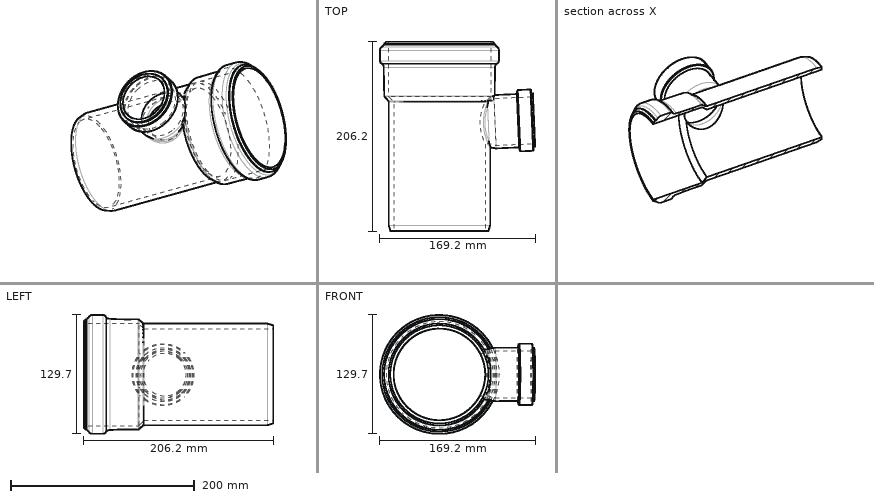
import cadquery as cq
import math


TOTAL_LENGTH = 206.2
PIPE_RADIUS = 110.9 / 2
PIPE_BORE_RADIUS = 99.5 / 2
SPIGOT_CHAMFER_LENGTH = 6.6
SPIGOT_TIP_RADIUS = 53.4

SOCKET_BORE_RADIUS = 111.3 / 2
MOUTH_RADIUS = 58.0
LIP_DEPTH = 2.3
LIP_RADIUS = 120.5 / 2
BEAD_FOOT_DEPTH = 3.1
BEAD_SHOULDER_DEPTH = 5.5
BEAD_SHOULDER_RADIUS = 62.6
BEAD_START_DEPTH = 9.2
BEAD_END_DEPTH = 20.8
BEAD_RADIUS = 129.7 / 2
BEAD_BACK_DEPTH = 24.1
BEAD_BACK_RADIUS = 62.3
NECK_START_DEPTH = 28.0
NECK_START_RADIUS = 121.4 / 2
NECK_ROUND_DEPTH = 58.7
NECK_END_DEPTH = 59.5
NECK_ROUND_RADIUS = 120.5 / 2
NECK_END_RADIUS = 60.05
SHOULDER_BLEND_DEPTH = 64.2
SHOULDER_BLEND_RADIUS = 56.0
SHOULDER_END_DEPTH = 65.4

BRANCH_TILT = 2.5
BRANCH_Y = 116.4
BRANCH_START = 30.0
BRANCH_ROOT_RADIUS = 55.0 / 2
BRANCH_ROOT_BORE_RADIUS = 46.6 / 2
BRANCH_CONE_START = 53.0
BRANCH_CONE_END = 60.3
BRANCH_RADIUS = 58.4 / 2
BRANCH_SOCKET_BORE_RADIUS = 51.2 / 2
COLLAR_START = 85.4
COLLAR_RADIUS = 60.3 / 2
BRANCH_BEAD_START = 86.2
BRANCH_BEAD_END = 101.2
BRANCH_BEAD_RADIUS = 67.1 / 2
BRANCH_BEAD_CHAMFER = 0.7
BRANCH_LIP_RADIUS = 58.0 / 2
BRANCH_END = 103.2

SADDLE_FILLET = 1.8
FLARE_START = 5.0
STUB_END = 80.0


def station(depth):
    """Y position of a depth measured inwards from the main socket mouth."""
    return TOTAL_LENGTH - depth


def flank_middle(crest, foot):
    """Middle point of the arc that leaves `crest` parallel to the pipe axis and ends at `foot`.

    Points are (radius, Y) pairs.
    """
    rise = foot[0] - crest[0]
    run = foot[1] - crest[1]
    arc_radius = (rise**2 + run**2) / (2 * abs(rise))
    half_sweep = math.atan2(abs(rise), abs(run))
    radius = crest[0] + math.copysign(arc_radius * (1 - math.cos(half_sweep)), rise)
    y = crest[1] + math.copysign(arc_radius * math.sin(half_sweep), run)
    return radius, y


def main_body():
    bead_shoulder = (BEAD_SHOULDER_RADIUS, station(BEAD_SHOULDER_DEPTH))
    bead_start = (BEAD_RADIUS, station(BEAD_START_DEPTH))
    bead_end = (BEAD_RADIUS, station(BEAD_END_DEPTH))
    bead_back = (BEAD_BACK_RADIUS, station(BEAD_BACK_DEPTH))
    neck_start = (NECK_START_RADIUS, station(NECK_START_DEPTH))
    neck_round = (NECK_ROUND_RADIUS, station(NECK_ROUND_DEPTH))
    neck_end = (NECK_END_RADIUS, station(NECK_END_DEPTH))
    blend = (SHOULDER_BLEND_RADIUS, station(SHOULDER_BLEND_DEPTH))
    shoulder_end = (PIPE_RADIUS, station(SHOULDER_END_DEPTH))
    profile = (
        cq.Workplane("XY")
        .moveTo(0, 0)
        .lineTo(SPIGOT_TIP_RADIUS, 0)
        .lineTo(PIPE_RADIUS, SPIGOT_CHAMFER_LENGTH)
        .lineTo(*shoulder_end)
        .threePointArc(flank_middle(shoulder_end, blend), blend)
        .lineTo(*neck_end)
        .threePointArc(flank_middle(neck_round, neck_end), neck_round)
        .lineTo(*neck_start)
        .threePointArc(flank_middle(neck_start, bead_back), bead_back)
        .threePointArc(flank_middle(bead_end, bead_back), bead_end)
        .lineTo(*bead_start)
        .threePointArc(flank_middle(bead_start, bead_shoulder), bead_shoulder)
        .lineTo(LIP_RADIUS, station(BEAD_FOOT_DEPTH))
        .lineTo(LIP_RADIUS, station(LIP_DEPTH))
        .lineTo(MOUTH_RADIUS, TOTAL_LENGTH)
        .lineTo(0, TOTAL_LENGTH)
        .close()
    )
    return profile.revolve(360, (0, 0, 0), (0, 1, 0))


def main_bore():
    profile = (
        cq.Workplane("XY")
        .moveTo(0, 0)
        .lineTo(PIPE_BORE_RADIUS, 0)
        .lineTo(PIPE_BORE_RADIUS, station(SHOULDER_END_DEPTH))
        .lineTo(SOCKET_BORE_RADIUS, station(NECK_END_DEPTH))
        .lineTo(SOCKET_BORE_RADIUS, TOTAL_LENGTH)
        .lineTo(0, TOTAL_LENGTH)
        .close()
    )
    return profile.revolve(360, (0, 0, 0), (0, 1, 0))


def revolve_on_branch(outline):
    """Revolve (distance, radius) points about the branch axis and set the solid in place."""
    axis_points = [(outline[-1][0], 0), (outline[0][0], 0)]
    solid = cq.Workplane("XY").polyline(outline + axis_points).close().revolve(360, (0, 0, 0), (1, 0, 0))
    return solid.rotate((0, 0, 0), (0, 0, 1), BRANCH_TILT).translate((0, BRANCH_Y, 0))


def branch_body():
    return revolve_on_branch([
        (BRANCH_START, BRANCH_ROOT_RADIUS),
        (BRANCH_CONE_START, BRANCH_ROOT_RADIUS),
        (BRANCH_CONE_END, BRANCH_RADIUS),
        (COLLAR_START, BRANCH_RADIUS),
        (COLLAR_START, COLLAR_RADIUS),
        (BRANCH_BEAD_START, BRANCH_BEAD_RADIUS - BRANCH_BEAD_CHAMFER),
        (BRANCH_BEAD_START + BRANCH_BEAD_CHAMFER, BRANCH_BEAD_RADIUS),
        (BRANCH_BEAD_END - BRANCH_BEAD_CHAMFER, BRANCH_BEAD_RADIUS),
        (BRANCH_BEAD_END, BRANCH_BEAD_RADIUS - BRANCH_BEAD_CHAMFER),
        (BRANCH_BEAD_END, BRANCH_LIP_RADIUS),
        (BRANCH_END, BRANCH_LIP_RADIUS),
    ])


def branch_bore():
    return revolve_on_branch([
        (BRANCH_START, BRANCH_ROOT_BORE_RADIUS),
        (BRANCH_CONE_START, BRANCH_ROOT_BORE_RADIUS),
        (BRANCH_CONE_END, BRANCH_SOCKET_BORE_RADIUS),
        (BRANCH_END, BRANCH_SOCKET_BORE_RADIUS),
    ])


def saddle_fillet(run, stub):
    """Join a branch stub to a plain body of the main run and round the closed seam between them."""
    joined = run.union(stub)
    return joined.edges("not (%CIRCLE or %LINE)").fillet(SADDLE_FILLET)


def pipe_saddle():
    """Root cylinder of the branch blended into the cylindrical pipe wall."""
    length = station(SHOULDER_END_DEPTH) - SPIGOT_CHAMFER_LENGTH
    pipe_end = cq.Workplane("XZ", origin=(0, SPIGOT_CHAMFER_LENGTH, 0))
    plain_pipe = pipe_end.circle(PIPE_RADIUS).extrude(-length)
    root = revolve_on_branch([(BRANCH_START, BRANCH_ROOT_RADIUS), (STUB_END, BRANCH_ROOT_RADIUS)])
    excess = revolve_on_branch([(BRANCH_CONE_END, BEAD_RADIUS), (STUB_END, BEAD_RADIUS)])
    return saddle_fillet(plain_pipe, root).cut(excess)


def shoulder_saddle():
    """Widening branch root blended into the conical shoulder of the main socket.

    Both cones are extended so that they meet in one closed seam, then trimmed to the shoulder.
    """
    neck_end = station(NECK_END_DEPTH)
    slope = (NECK_END_RADIUS - SHOULDER_BLEND_RADIUS) / (SHOULDER_BLEND_DEPTH - NECK_END_DEPTH)
    apex = neck_end - NECK_END_RADIUS / slope
    far_radius = slope * (TOTAL_LENGTH - apex)
    shoulder_points = [(0, apex), (far_radius, TOTAL_LENGTH), (0, TOTAL_LENGTH)]
    shoulder_outline = cq.Workplane("XY").polyline(shoulder_points).close()
    shoulder = shoulder_outline.revolve(360, (0, 0, 0), (0, 1, 0))

    flare = (BRANCH_RADIUS - BRANCH_ROOT_RADIUS) / (BRANCH_CONE_END - BRANCH_CONE_START)
    stub_start_radius = BRANCH_RADIUS - flare * (BRANCH_CONE_END - FLARE_START)
    stub_end_radius = BRANCH_RADIUS + flare * (STUB_END - BRANCH_CONE_END)
    stub = revolve_on_branch([(FLARE_START, stub_start_radius), (STUB_END, stub_end_radius)])

    trim_width = BRANCH_CONE_END - BRANCH_RADIUS * math.sin(math.radians(BRANCH_TILT))
    trim_length = SHOULDER_BLEND_DEPTH - NECK_END_DEPTH
    trim = cq.Workplane("XY").box(trim_width, trim_length, 2 * BEAD_RADIUS, centered=(False, False, True))
    trim = trim.translate((0, station(SHOULDER_BLEND_DEPTH), 0))
    return saddle_fillet(shoulder, stub).intersect(trim)


outside = main_body().union(branch_body()).union(pipe_saddle())
shoulder_wedge = shoulder_saddle().cut(outside)
outside = outside.union(shoulder_wedge, clean=False)
hollow = outside.cut(main_bore(), clean=False).cut(branch_bore(), clean=False)
result = cq.Workplane(hollow.solids().val())